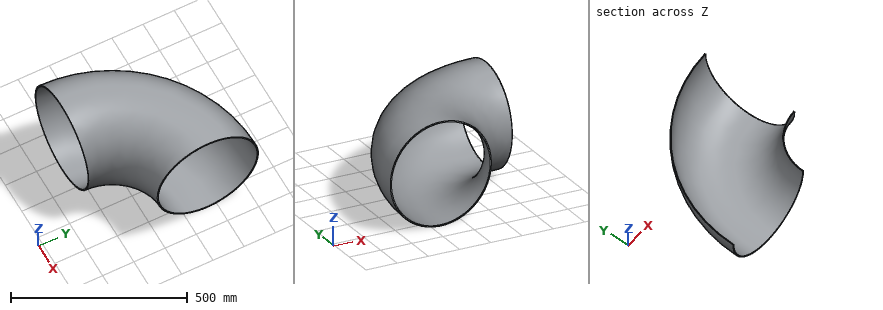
import cadquery as cq

outer_diameter = 323.9
wall_thickness = 4.0
bend_radius = 305.0
bend_angle = 90.0

outer_radius = outer_diameter / 2
inner_radius = outer_radius - wall_thickness


def make_elbow():
    """Sweep the pipe's ring section around the Z axis through the bend centre.

    The ring starts on the end face that looks toward -Y, and the sweep ends
    on the face that looks toward +X.
    """
    ring = (
        cq.Workplane("XZ")
        .center(-bend_radius, 0)
        .circle(outer_radius)
        .circle(inner_radius)
    )
    axis_start = (bend_radius, 0)
    axis_end = (bend_radius, -1)
    return ring.revolve(bend_angle, axis_start, axis_end)


result = make_elbow()